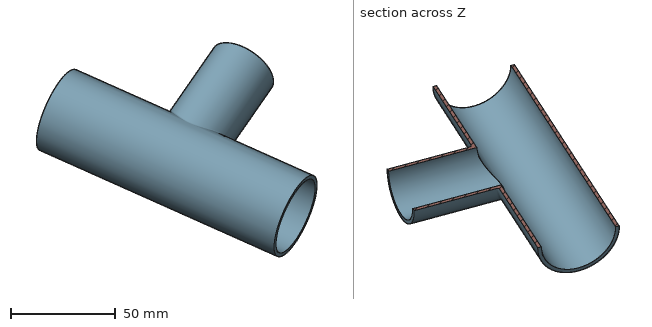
import cadquery as cq

wall = 2.0
run_outer_diameter = 42.4
run_length = 130.0
branch_outer_diameter = 33.7
branch_reach = 65.0
joint_fillet = 1.0
joint_clearance = 3.0


def run_cylinder(diameter):
    """Cylinder along X over the whole run, centred on the origin."""
    return cq.Workplane("YZ").circle(diameter / 2).extrude(run_length / 2, both=True)


def branch_cylinder(diameter):
    """Cylinder along +Y from the run axis to the branch end."""
    return cq.Workplane("XZ").circle(diameter / 2).extrude(-branch_reach)


def joint_region():
    """Box that holds the whole joint curve and no pipe end."""
    half_side = branch_outer_diameter / 2 + joint_clearance
    return cq.selectors.BoxSelector(
        (-half_side, 0, -half_side),
        (half_side, run_outer_diameter / 2 + joint_clearance, half_side),
        boundingbox=True,
    )


def outer_body():
    """Solid tee with the joint between run and branch blended."""
    tee = run_cylinder(run_outer_diameter).union(branch_cylinder(branch_outer_diameter))
    return tee.edges(joint_region()).fillet(joint_fillet)


run_bore = run_cylinder(run_outer_diameter - 2 * wall)
branch_bore = branch_cylinder(branch_outer_diameter - 2 * wall)

result = outer_body().cut(run_bore).cut(branch_bore)